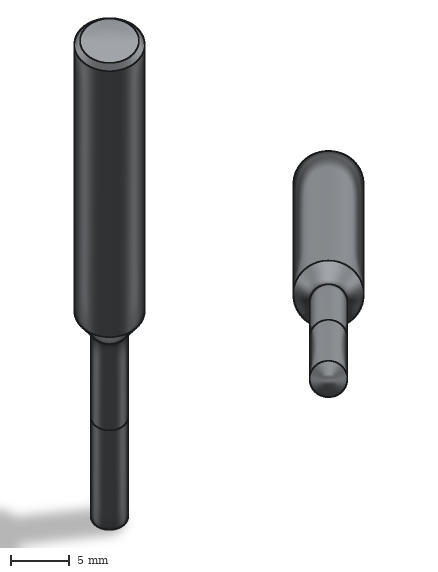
import cadquery as cq

total_length = 62.0
shank_radius = 6.0 / 2
neck_radius = 3.2 / 2
shank_chamfer = 0.5
point_height = 0.7
cutter_top = 13.5
taper_bottom = 24.7
taper_top = 27.15


def make_shank():
    """Chamfered shank, taper and neck as one turned solid."""
    profile = (
        cq.Workplane("XZ")
        .moveTo(0, cutter_top)
        .lineTo(neck_radius, cutter_top)
        .lineTo(neck_radius, taper_bottom)
        .lineTo(shank_radius, taper_top)
        .lineTo(shank_radius, total_length - shank_chamfer)
        .lineTo(shank_radius - shank_chamfer, total_length)
        .lineTo(0, total_length)
        .close()
    )
    return profile.revolve(360, (0, 0, 0), (0, 1, 0))


def make_cutter():
    """Cylindrical cutting end with a conical point."""
    profile = (
        cq.Workplane("XZ")
        .moveTo(0, 0)
        .lineTo(neck_radius, point_height)
        .lineTo(neck_radius, cutter_top)
        .lineTo(0, cutter_top)
        .close()
    )
    return profile.revolve(360, (0, 0, 0), (0, 1, 0))


shank = make_shank()
cutter = make_cutter()

result = cq.Compound.makeCompound([shank.val(), cutter.val()])